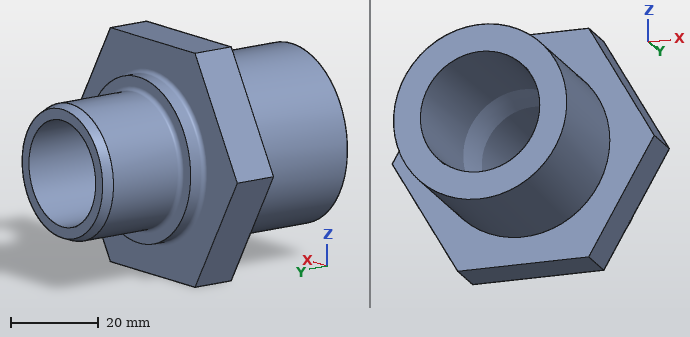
import cadquery as cq
import math

total_length = 66.0
socket_length = 29.6
hex_thickness = 10.4
collar_length = 4.0
hex_end = socket_length + hex_thickness
collar_end = hex_end + collar_length

hex_across_flats = 55.0
hex_across_corners = hex_across_flats / math.cos(math.radians(30))
socket_diameter = 42.0
collar_diameter = 39.0
spigot_diameter = 32.0
root_fillet = 1.0
tip_chamfer_length = 2.45
tip_chamfer_angle = 20.0

socket_bore = 28.9
spigot_bore = 25.0
bore_taper_angle = 15.0


def revolve_about_y(profile):
    """Turn a closed XY profile into a solid of revolution about the Y axis."""
    return profile.close().revolve(360, (0, 0, 0), (0, 1, 0))


def make_hexagon():
    """Hexagonal flange with two corners on the X axis."""
    plane = cq.Plane(origin=(0, socket_length, 0), xDir=(1, 0, 0), normal=(0, 1, 0))
    return cq.Workplane(plane).polygon(6, hex_across_corners).extrude(hex_thickness)


def make_turned_body():
    """Socket, collar and spigot, with concave fillets at the collar and spigot roots."""
    socket_radius = socket_diameter / 2
    collar_radius = collar_diameter / 2
    spigot_radius = spigot_diameter / 2
    tip_inset = tip_chamfer_length * math.tan(math.radians(tip_chamfer_angle))
    arc_inset = root_fillet * (1 - math.sqrt(0.5))
    profile = (
        cq.Workplane("XY")
        .lineTo(socket_radius, 0)
        .lineTo(socket_radius, hex_end)
        .lineTo(collar_radius + root_fillet, hex_end)
        .threePointArc(
            (collar_radius + arc_inset, hex_end + arc_inset),
            (collar_radius, hex_end + root_fillet),
        )
        .lineTo(collar_radius, collar_end)
        .lineTo(spigot_radius + root_fillet, collar_end)
        .threePointArc(
            (spigot_radius + arc_inset, collar_end + arc_inset),
            (spigot_radius, collar_end + root_fillet),
        )
        .lineTo(spigot_radius, total_length - tip_chamfer_length)
        .lineTo(spigot_radius - tip_inset, total_length)
        .lineTo(0, total_length)
    )
    return revolve_about_y(profile)


def make_bore():
    """Stepped through passage with a conical transition."""
    bore_step = (socket_bore - spigot_bore) / 2
    taper_length = bore_step / math.tan(math.radians(bore_taper_angle))
    profile = (
        cq.Workplane("XY")
        .lineTo(socket_bore / 2, 0)
        .lineTo(socket_bore / 2, socket_length)
        .lineTo(spigot_bore / 2, socket_length + taper_length)
        .lineTo(spigot_bore / 2, total_length)
        .lineTo(0, total_length)
    )
    return revolve_about_y(profile)


result = make_hexagon().union(make_turned_body()).cut(make_bore())